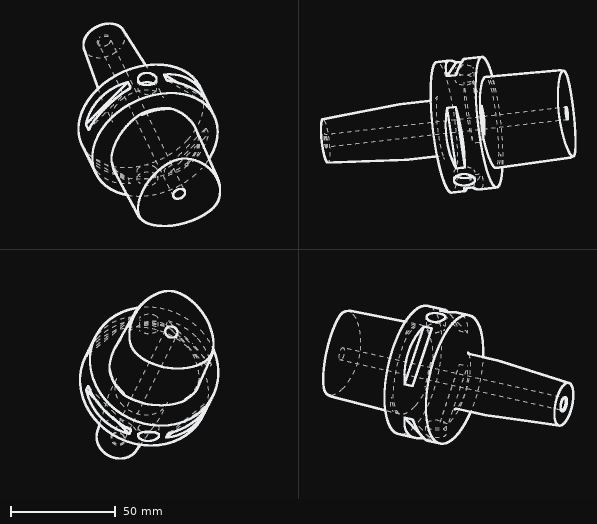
import cadquery as cq
import math

total_length = 118.0
tip_diameter = 21.0
neck_diameter = 26.9
cone_length = 38.1
flange_front = 58.0
flange_back = 80.1
flange_diameter = 63.0
neck_fillet = 5.0
bore_diameter = 6.0
bore_mouth_diameter = 7.0

shank_radius = 22.0
lobe_height = 1.3
lobe_count = 3
collar_end = 81.8
blend_end = 82.8
taper = 1 / 40
blend_taper = taper / 2
end_chamfer_length = 1.5
end_chamfer_depth = 0.5
points_per_face = 13

relief_radius = 22.4
relief_length = 1.0

rim_feature_x = 68.0
slot_floor_width = 4.2
slot_floor_distance = 27.7
slot_wall_angle = 25.0
slot_angles = (45, 135, 225, 315)
hole_diameter = 9.0
hole_depth = 5.9
drill_point_angle = 118.0
pocket_diameter = 10.0
pocket_depth = 4.5


def make_body():
    """Conical nose, cylindrical neck, filleted root and flange."""
    neck_radius = neck_diameter / 2
    fillet_start = flange_front - neck_fillet
    mid_offset = neck_fillet * math.sin(math.radians(45))
    fillet_middle = (fillet_start + mid_offset, neck_radius + neck_fillet - mid_offset)
    return (
        cq.Workplane("XY")
        .lineTo(0, tip_diameter / 2)
        .lineTo(cone_length, neck_radius)
        .lineTo(fillet_start, neck_radius)
        .threePointArc(fillet_middle, (flange_front, neck_radius + neck_fillet))
        .lineTo(flange_front, flange_diameter / 2)
        .lineTo(flange_back, flange_diameter / 2)
        .lineTo(flange_back, 0)
        .close()
        .revolve(360, (0, 0, 0), (1, 0, 0))
    )


def lobed_point(mean_radius, angle):
    """Point (Y, Z) of the constant-width lobed curve whose normal has this angle."""
    phase = lobe_count * (angle - math.pi / 2)
    support = mean_radius + lobe_height * math.cos(phase)
    slope = -lobe_count * lobe_height * math.sin(phase)
    y = support * math.cos(angle) - slope * math.sin(angle)
    z = support * math.sin(angle) + slope * math.cos(angle)
    return y, z


def lobed_outline(x, mean_radius):
    """Closed section at x, one spline per lobe, joined midway between lobes."""
    outline = cq.Workplane("YZ", origin=(x, 0, 0))
    sweep = 2 * math.pi / lobe_count
    first_joint = math.pi / 2 - sweep / 2
    outline = outline.moveTo(*lobed_point(mean_radius, first_joint))
    for lobe in range(lobe_count):
        start = first_joint + lobe * sweep
        step = sweep / (points_per_face - 1)
        points = [lobed_point(mean_radius, start + i * step) for i in range(1, points_per_face)]
        tangents = [(-math.sin(a), math.cos(a)) for a in (start, start + sweep)]
        outline = outline.spline(points, tangents=tangents, includeCurrent=True)
    return outline.close().wires().val()


def loft_between(x_start, radius_start, x_end, radius_end):
    """Lobed solid with straight sides between two sections."""
    sections = [lobed_outline(x_start, radius_start), lobed_outline(x_end, radius_end)]
    return cq.Workplane(cq.Solid.makeLoft(sections, True))


def make_shank():
    """Lobed collar, short blend, long taper and end chamfer, with the lobes relieved at the flange."""
    chamfer_start = total_length - end_chamfer_length
    blend_radius = shank_radius - blend_taper * (blend_end - collar_end)
    small_radius = blend_radius - taper * (chamfer_start - blend_end)
    collar = loft_between(flange_back, shank_radius, collar_end, shank_radius)
    blend = loft_between(collar_end, shank_radius, blend_end, blend_radius)
    cone = loft_between(blend_end, blend_radius, chamfer_start, small_radius)
    end = loft_between(chamfer_start, small_radius, total_length, small_radius - end_chamfer_depth)
    return collar.union(blend).union(cone).union(end).cut(make_relief())


def make_relief():
    """Ring around the collar with a sloping end towards the taper."""
    outer = flange_diameter / 2
    slope_end = collar_end + outer - relief_radius
    return (
        cq.Workplane("XY")
        .moveTo(flange_back, relief_radius)
        .lineTo(flange_back + relief_length, relief_radius)
        .lineTo(slope_end, outer)
        .lineTo(flange_back, outer)
        .close()
        .revolve(360, (0, 0, 0), (1, 0, 0))
    )


def make_slot(angle):
    """Straight slot across the rim with a flat floor and leaning walls."""
    rim = flange_diameter / 2
    half_floor = slot_floor_width / 2
    half_top = half_floor + (rim - slot_floor_distance) * math.tan(math.radians(slot_wall_angle))
    return (
        cq.Workplane("XZ")
        .moveTo(rim_feature_x - half_floor, slot_floor_distance)
        .lineTo(rim_feature_x + half_floor, slot_floor_distance)
        .lineTo(rim_feature_x + half_top, rim)
        .lineTo(rim_feature_x - half_top, rim)
        .close()
        .extrude(rim, both=True)
        .rotate((0, 0, 0), (1, 0, 0), angle)
    )


def make_orientation_hole():
    """Drilled blind hole in the top of the rim, with a conical bottom."""
    radius = hole_diameter / 2
    rim = flange_diameter / 2
    shoulder = rim - hole_depth
    point = shoulder - radius / math.tan(math.radians(drill_point_angle / 2))
    return (
        cq.Workplane("XZ")
        .moveTo(0, point)
        .lineTo(radius, shoulder)
        .lineTo(radius, rim)
        .lineTo(0, rim)
        .close()
        .revolve(360, (0, 0, 0), (0, 1, 0))
        .translate((rim_feature_x, 0, 0))
    )


def make_chip_pocket():
    """Flat-bottomed round pocket in the underside of the rim."""
    return (
        cq.Workplane("XY", origin=(rim_feature_x, 0, -flange_diameter / 2))
        .circle(pocket_diameter / 2)
        .extrude(pocket_depth)
    )


def make_bore():
    """Through bore along the axis with a 45-degree chamfer at the nose."""
    radius = bore_diameter / 2
    mouth_radius = bore_mouth_diameter / 2
    return (
        cq.Workplane("XY")
        .lineTo(0, mouth_radius)
        .lineTo(mouth_radius - radius, radius)
        .lineTo(total_length, radius)
        .lineTo(total_length, 0)
        .close()
        .revolve(360, (0, 0, 0), (1, 0, 0))
    )


result = make_body().union(make_shank())
for slot_angle in slot_angles:
    result = result.cut(make_slot(slot_angle))
result = result.cut(make_orientation_hole()).cut(make_chip_pocket()).cut(make_bore())